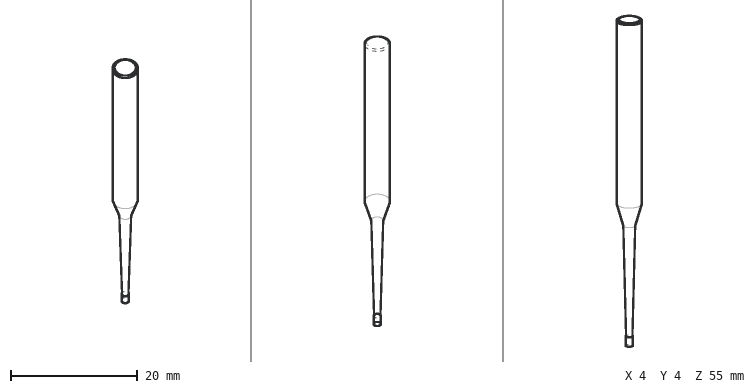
import cadquery as cq

total_length = 55.0
shank_diameter = 4.0

tip_diameter = 1.15
tip_length = 1.6

neck_bottom_diameter = 1.05
neck_top_diameter = 1.9
neck_top_z = 20.25

shank_bottom_z = 23.9

bevel_height = 0.2
bevel_width = 0.35


def make_holder():
    """Shank, cone and tapered neck, turned about Z as one solid."""
    shank_radius = shank_diameter / 2
    profile = [
        (0, tip_length),
        (neck_bottom_diameter / 2, tip_length),
        (neck_top_diameter / 2, neck_top_z),
        (shank_radius, shank_bottom_z),
        (shank_radius, total_length - bevel_height),
        (shank_radius - bevel_width, total_length),
        (0, total_length),
    ]
    return cq.Workplane("XZ").polyline(profile).close().revolve(360, (0, 0, 0), (0, 1, 0))


def make_cutting_tip():
    """Plain cylinder that meets the bottom end of the neck."""
    return cq.Workplane("XY").circle(tip_diameter / 2).extrude(tip_length)


holder = make_holder()
cutting_tip = make_cutting_tip()

result = cq.Compound.makeCompound([holder.val(), cutting_tip.val()])